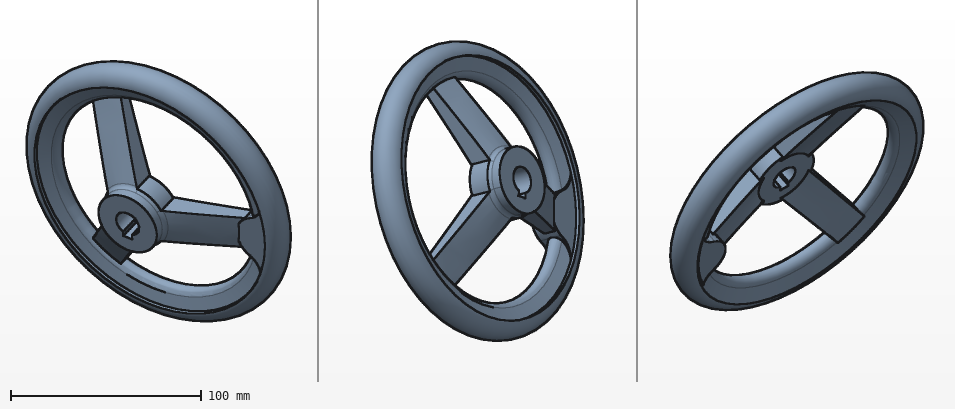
import cadquery as cq
import math

outer_radius = 80.0
inner_radius = 60.0
rim_thickness = 17.9
grip_radius = rim_thickness / 2
rim_back = 20.0
rim_mid = rim_back - grip_radius
ring_radius = outer_radius - grip_radius
step_depth = 2.4
pad_y = rim_back - rim_thickness + step_depth
lip_radius = 4.8
lip_angle = math.radians(73)
lip_center_radius = inner_radius + lip_radius

hub_front = -20.0
flange_diameter = 36.0
flange_radius = flange_diameter / 2
flange_length = 5.5
body_radius = 19.0
flare_radius = 19.8
flare_end = -11.8
flare_middle = (18.5, -13.0)
bore_diameter = 14.0
key_width = 5.5
key_depth = 9.5

spoke_count = 3
spoke_root_half_width = 10.5
spoke_tip_half_width = 9.9
spoke_tip_radius = 64.0
pad_start_radius = 53.6
spoke_back_root_radius = 16.8
spoke_back_tip_y = 16.0

boss_radius = 14.0
boss_center = 66.0
boss_back = 19.2
shoulder_angle = math.radians(60)
shoulder_length = 3.4
blend_middle = (65.6, 18.2)
blend_end = (66.5, 24.6)


def revolve_about_y(profile):
    """Revolve a closed (radius, Y) profile about the wheel axis."""
    return profile.close().revolve(360, (0, 0, 0), (0, 1, 0))


def cylinder(radius, start_y, end_y):
    profile = cq.Workplane("XY").polyline([(0, start_y), (radius, start_y), (radius, end_y), (0, end_y)])
    return revolve_about_y(profile)


def extrude_along_y(outline, start_y, end_y):
    """Extrude a closed XZ outline between two Y positions."""
    return outline.close().extrude(start_y - end_y).translate((0, start_y, 0))


def make_rim():
    lip_reach = lip_radius * math.cos(lip_angle)
    lip_rise = lip_radius * math.sin(lip_angle)
    lip_edge = lip_center_radius - lip_reach
    profile = (
        cq.Workplane("XY")
        .moveTo(ring_radius, rim_mid - grip_radius)
        .threePointArc((outer_radius, rim_mid), (ring_radius, rim_back))
        .lineTo(lip_edge, rim_mid + lip_rise)
        .threePointArc((inner_radius, rim_mid), (lip_edge, rim_mid - lip_rise))
        .lineTo(ring_radius, pad_y)
    )
    return revolve_about_y(profile)


def flared_profile():
    """Start a profile at the axis and follow the flange and its concave flare."""
    return (
        cq.Workplane("XY")
        .moveTo(0, hub_front)
        .lineTo(flange_radius, hub_front)
        .lineTo(flange_radius, hub_front + flange_length)
        .threePointArc(flare_middle, (flare_radius, flare_end))
    )


def make_hub():
    profile = flared_profile().lineTo(flare_radius, 0).lineTo(0, 0)
    return revolve_about_y(profile).intersect(cylinder(body_radius, hub_front, 0))


def make_spokes():
    slope = (pad_y - flare_end) / (pad_start_radius - flare_radius)
    front_tip_y = flare_end + slope * (spoke_tip_radius - flare_radius)
    profile = (
        flared_profile()
        .lineTo(spoke_tip_radius, front_tip_y)
        .lineTo(spoke_tip_radius, spoke_back_tip_y)
        .lineTo(spoke_back_root_radius, 0)
        .lineTo(0, 0)
    )
    dish = revolve_about_y(profile)
    outline = cq.Workplane("XZ").polyline([
        (0, -spoke_root_half_width),
        (spoke_tip_radius, -spoke_tip_half_width),
        (spoke_tip_radius, spoke_tip_half_width),
        (0, spoke_root_half_width),
    ])
    spoke = dish.intersect(extrude_along_y(outline, hub_front, rim_back))
    spokes = spoke
    for index in range(1, spoke_count):
        spokes = spokes.union(spoke.rotate((0, 0, 0), (0, 1, 0), index * 360 / spoke_count))
    return spokes


def make_boss():
    boss = cylinder(boss_radius, pad_y, boss_back).translate((boss_center, 0, 0))

    def mirrored(point):
        return (point[0], -point[1])

    shoulder_cos = math.cos(shoulder_angle)
    shoulder_sin = math.sin(shoulder_angle)
    shoulder_point = (boss_center - boss_radius * shoulder_cos, boss_radius * shoulder_sin)
    neck_point = (
        shoulder_point[0] + shoulder_length * shoulder_sin,
        shoulder_point[1] + shoulder_length * shoulder_cos,
    )
    outline = (
        cq.Workplane("XZ")
        .moveTo(*shoulder_point)
        .lineTo(*neck_point)
        .threePointArc(blend_middle, blend_end)
        .lineTo(outer_radius, blend_end[1])
        .lineTo(outer_radius, -blend_end[1])
        .lineTo(*mirrored(blend_end))
        .threePointArc(mirrored(blend_middle), mirrored(neck_point))
        .lineTo(*mirrored(shoulder_point))
    )
    pad = boss.union(extrude_along_y(outline, pad_y, boss_back))
    return pad.intersect(cylinder(ring_radius, pad_y, boss_back))


def make_bore():
    keyway = cq.Workplane("XZ").polyline([
        (-key_width / 2, 0),
        (key_width / 2, 0),
        (key_width / 2, -key_depth),
        (-key_width / 2, -key_depth),
    ])
    return cylinder(bore_diameter / 2, hub_front, 0).union(extrude_along_y(keyway, hub_front, 0))


result = make_rim().union(make_spokes()).union(make_boss()).union(make_hub()).cut(make_bore())